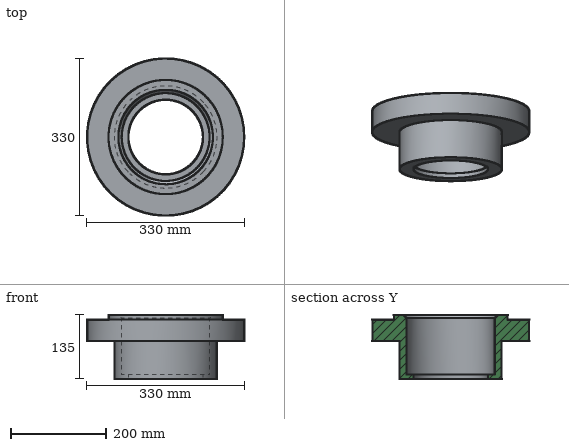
import cadquery as cq

flange_diameter = 330.0
flange_thickness = 45.0

face_diameter = 239.7
face_height = 10.0

hub_diameter = 215.0
hub_length = 80.0

recess_diameter = 184.3
opening_diameter = 156.03
lip_thickness = 10.0
mouth_chamfer = 7.0

total_height = hub_length + flange_thickness + face_height


def disc(diameter, bottom, height):
    """Solid cylinder about the Z axis, standing on the given level."""
    return cq.Workplane("XY").workplane(offset=bottom).circle(diameter / 2).extrude(height)


def make_body():
    """Hub, flange and raised face stacked along Z, with the middle of the height at Z = 0."""
    hub_bottom = -total_height / 2
    flange_bottom = hub_bottom + hub_length
    face_bottom = flange_bottom + flange_thickness
    hub = disc(hub_diameter, hub_bottom, hub_length)
    flange = disc(flange_diameter, flange_bottom, flange_thickness)
    face = disc(face_diameter, face_bottom, face_height)
    return hub.union(flange).union(face)


def cut_bore(body):
    """Cut the recess, chamfer its mouth and open the lip through the bottom."""
    recess_depth = total_height - lip_thickness
    recessed = body.faces(">Z").workplane().hole(recess_diameter, recess_depth)
    innermost_edge = cq.selectors.RadiusNthSelector(0)
    chamfered = recessed.faces(">Z").edges(innermost_edge).chamfer(mouth_chamfer)
    return chamfered.cut(disc(opening_diameter, -total_height / 2, total_height))


result = cut_bore(make_body())